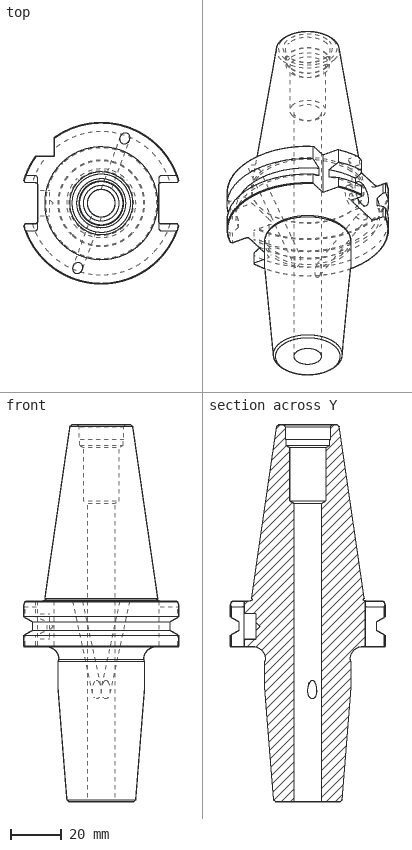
import cadquery as cq
import math


gauge_radius = 44.45 / 2
taper_length = 68.25
taper_ratio = 7 / 24
taper_end_radius = gauge_radius - taper_length * taper_ratio / 2
taper_end_chamfer = 0.8

undercut_radius = 21.8
undercut_bottom = -0.6
undercut_rim_radius = 23.4

flange_radius = 63.55 / 2
flange_top = -1.1
flange_bottom = -19.1
flange_chamfer = 0.3
groove_radius = 56.5 / 2
groove_center = -10.95
groove_root_width = 3.4
groove_flank_angle = 30
groove_flank_height = (flange_radius - groove_radius) * math.tan(math.radians(groove_flank_angle))

projection = 80
neck_radius = 16.7
body_radius = 17.05
body_top = -24
neck_fillet = flange_bottom - body_top
body_lead_height = 0.9
cone_top = -35.5
nose_radius = 13.5
nose_chamfer = 0.8
nose_cone_slope = (body_radius - nose_radius) / (projection + cone_top)

pilot_radius = 17.5 / 2
pilot_chamfer = 0.9
pilot_depth = 5.9
relief_radius = 17 / 2
relief_depth = 8.2
thread_radius = 14 / 2
thread_depth = 30
through_radius = 10.8 / 2
bore_cone_height_ratio = 0.6

slot_half_width = 8.05
slot_floor_minus_x = 25
slot_floor_plus_x = 22.6
slot_corner_radius = 0.9
slot_top_chamfer_width = 2.8
slot_top_chamfer_height = 2.3
slot_mouth_half_width = 9
slot_mouth_depth = 0.6

notch_offset = 18.5

chip_radius = 10 / 2
chip_depth = 4.6
chip_height = -11.1
tip_radius = 3.2 / 2
tip_depth = 1.5

coolant_radius = 3.8 / 2
coolant_circle_radius = 27.1
coolant_tilt = 32
coolant_angle = 70

overlap = 1


def make_body():
    root_top = groove_center + groove_root_width / 2
    root_bottom = groove_center - groove_root_width / 2
    fillet_rim_radius = neck_radius + neck_fillet
    fillet_center = (fillet_rim_radius, body_top)
    fillet_middle = (
        fillet_center[0] - neck_fillet * math.cos(math.pi / 4),
        fillet_center[1] + neck_fillet * math.sin(math.pi / 4),
    )
    profile = (
        cq.Workplane("XZ")
        .moveTo(0, taper_length)
        .lineTo(taper_end_radius - taper_end_chamfer, taper_length)
        .lineTo(taper_end_radius + taper_end_chamfer * taper_ratio / 2, taper_length - taper_end_chamfer)
        .lineTo(gauge_radius, 0)
        .lineTo(undercut_radius, undercut_bottom)
        .lineTo(undercut_rim_radius, flange_top)
        .lineTo(flange_radius - flange_chamfer, flange_top)
        .lineTo(flange_radius, flange_top - flange_chamfer)
        .lineTo(flange_radius, root_top + groove_flank_height)
        .lineTo(groove_radius, root_top)
        .lineTo(groove_radius, root_bottom)
        .lineTo(flange_radius, root_bottom - groove_flank_height)
        .lineTo(flange_radius, flange_bottom + flange_chamfer)
        .lineTo(flange_radius - flange_chamfer, flange_bottom)
        .lineTo(fillet_rim_radius, flange_bottom)
        .threePointArc(fillet_middle, (neck_radius, body_top))
        .lineTo(body_radius, body_top - body_lead_height)
        .lineTo(body_radius, cone_top)
        .lineTo(nose_radius + nose_chamfer * nose_cone_slope, nose_chamfer - projection)
        .lineTo(nose_radius - nose_chamfer, -projection)
        .lineTo(0, -projection)
        .close()
    )
    return profile.revolve(360, (0, 0, 0), (0, 1, 0))


def make_bore():
    relief_bottom = taper_length - relief_depth
    thread_bottom = taper_length - thread_depth
    relief_cone_height = (relief_radius - thread_radius) * bore_cone_height_ratio
    thread_cone_height = (thread_radius - through_radius) * bore_cone_height_ratio
    profile = (
        cq.Workplane("XZ")
        .moveTo(0, taper_length)
        .lineTo(pilot_radius + pilot_chamfer, taper_length)
        .lineTo(pilot_radius, taper_length - pilot_chamfer)
        .lineTo(pilot_radius, taper_length - pilot_depth)
        .lineTo(relief_radius, taper_length - pilot_depth)
        .lineTo(relief_radius, relief_bottom)
        .lineTo(thread_radius, relief_bottom - relief_cone_height)
        .lineTo(thread_radius, thread_bottom)
        .lineTo(through_radius, thread_bottom - thread_cone_height)
        .lineTo(through_radius, -projection)
        .lineTo(0, -projection)
        .close()
    )
    return profile.revolve(360, (0, 0, 0), (0, 1, 0))


def make_slot(floor):
    """Drive slot on the +X side, with its floor at the given distance from the axis."""
    outside = flange_radius + overlap
    height = -flange_bottom
    channel = (
        cq.Workplane("XY", origin=((floor + outside) / 2, 0, flange_bottom))
        .box(outside - floor, 2 * slot_half_width, height, centered=(True, True, False))
        .edges("|Z and <X")
        .fillet(slot_corner_radius)
    )
    top_half_width = slot_half_width + slot_top_chamfer_width
    top_bevel = (
        cq.Workplane("YZ", origin=(floor, 0, 0))
        .moveTo(-top_half_width, flange_top)
        .lineTo(top_half_width, flange_top)
        .lineTo(slot_half_width, flange_top - slot_top_chamfer_height)
        .lineTo(-slot_half_width, flange_top - slot_top_chamfer_height)
        .close()
        .extrude(outside - floor)
        .edges("<X and (not |Y)")
        .fillet(slot_corner_radius)
    )
    mouth_x = math.sqrt(flange_radius**2 - slot_mouth_half_width**2)
    mouth = (
        cq.Workplane("XY", origin=(0, 0, flange_bottom))
        .moveTo(mouth_x - slot_mouth_depth, -slot_half_width)
        .lineTo(mouth_x, -slot_mouth_half_width)
        .lineTo(outside, -slot_mouth_half_width)
        .lineTo(outside, slot_mouth_half_width)
        .lineTo(mouth_x, slot_mouth_half_width)
        .lineTo(mouth_x - slot_mouth_depth, slot_half_width)
        .close()
        .extrude(height)
    )
    return channel.union(top_bevel).union(mouth)


def make_notch():
    size = flange_radius
    corner = (-notch_offset - size, notch_offset, flange_bottom)
    return cq.Workplane("XY", origin=corner).box(size, size, flange_top - flange_bottom, centered=False)


def make_chip_hole():
    """Flat-bottomed hole along X with a small conical drill mark in its middle."""
    start = cq.Vector(-slot_floor_minus_x - overlap, 0, chip_height)
    bottom = cq.Vector(-slot_floor_minus_x + chip_depth, 0, chip_height)
    inward = cq.Vector(1, 0, 0)
    hole = cq.Solid.makeCylinder(chip_radius, chip_depth + overlap, start, inward)
    tip = cq.Solid.makeCone(tip_radius, 0, tip_depth, bottom, inward)
    return cq.Workplane(hole).union(cq.Workplane(tip))


def make_coolant_hole(angle):
    """Hole from the flange top, sloping inward to the central bore."""
    tilt = math.radians(coolant_tilt)
    turn = math.radians(angle)
    direction = cq.Vector(
        -math.sin(tilt) * math.cos(turn),
        -math.sin(tilt) * math.sin(turn),
        -math.cos(tilt),
    )
    mouth = cq.Vector(
        coolant_circle_radius * math.cos(turn),
        coolant_circle_radius * math.sin(turn),
        flange_top,
    )
    length = coolant_circle_radius / math.sin(tilt)
    start = mouth - direction * (2 * coolant_radius)
    return cq.Workplane(cq.Solid.makeCylinder(coolant_radius, length + 2 * coolant_radius, start, direction))


result = make_body().cut(make_bore())
result = result.cut(make_slot(slot_floor_plus_x))
result = result.cut(make_slot(slot_floor_minus_x).rotate((0, 0, 0), (0, 0, 1), 180))
result = result.cut(make_notch())
result = result.cut(make_chip_hole())
for hole_angle in (coolant_angle, coolant_angle + 180):
    result = result.cut(make_coolant_hole(hole_angle))